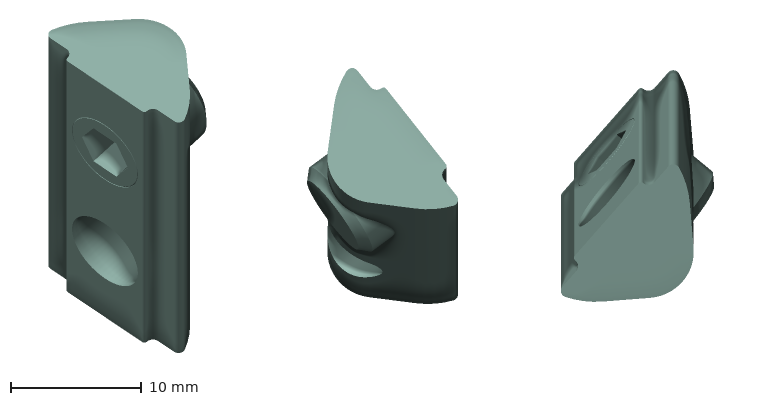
import cadquery as cq
import math

length = 28.0
half_width = 6.735
crest_height = 7.6
crest_radius = 3.65
flank_radius = 7.0
nose_radius = 0.5
wing_height = 0.87
foot_half_width = 4.0
foot_edge_radius = 0.25
foot_corner_radius = wing_height - foot_edge_radius

hole_diameter = 6.65
hole_end_distance = 8.0
open_hole_z = hole_end_distance
screw_z = length - hole_end_distance

screw_diameter = 8.0
screw_length = 8.0
screw_chamfer = 0.75
socket_across_flats = 4.0
socket_depth = 4.0
socket_tip_angle = 120.0

diagonal = math.sqrt(0.5)


def arc_middle(center, radius, start_angle, end_angle):
    """Point halfway along an arc, with the angles in radians."""
    angle = (start_angle + end_angle) / 2
    return arc_point(center, radius, angle)


def arc_point(center, radius, angle):
    return (center[0] + radius * math.cos(angle), center[1] + radius * math.sin(angle))


def make_profile():
    """Symmetric outline: foot, wings, rounded noses, 45-degree flanks and crest."""
    right = 0.0
    up = math.pi / 2
    flank_normal = math.pi / 4

    crest_center = (0, crest_height - crest_radius)
    crest_end = arc_point(crest_center, crest_radius, flank_normal)
    nose_center = (half_width - nose_radius, wing_height + nose_radius)

    nose_to_flank = (sum(crest_end) - sum(nose_center)) * diagonal
    along_flank = math.sqrt((flank_radius - nose_radius) ** 2 - (flank_radius - nose_to_flank) ** 2)
    inward = flank_radius - nose_to_flank
    flank_center = (
        nose_center[0] - (inward + along_flank) * diagonal,
        nose_center[1] - (inward - along_flank) * diagonal,
    )
    nose_angle = math.atan2(nose_center[1] - flank_center[1], nose_center[0] - flank_center[0])

    foot_edge_center = (foot_half_width - foot_edge_radius, foot_edge_radius)
    foot_corner_center = (foot_half_width + foot_corner_radius, foot_edge_radius)

    half = (
        cq.Workplane("XY")
        .moveTo(0, 0)
        .lineTo(foot_edge_center[0], 0)
        .threePointArc(
            arc_middle(foot_edge_center, foot_edge_radius, -up, right),
            (foot_half_width, foot_edge_radius),
        )
        .threePointArc(
            arc_middle(foot_corner_center, foot_corner_radius, up, math.pi),
            (foot_corner_center[0], wing_height),
        )
        .lineTo(nose_center[0], wing_height)
        .threePointArc(
            arc_middle(nose_center, nose_radius, -up, nose_angle),
            arc_point(nose_center, nose_radius, nose_angle),
        )
        .threePointArc(
            arc_middle(flank_center, flank_radius, nose_angle, flank_normal),
            arc_point(flank_center, flank_radius, flank_normal),
        )
        .lineTo(*crest_end)
        .threePointArc(
            arc_middle(crest_center, crest_radius, flank_normal, up),
            (0, crest_height),
        )
    )
    return half.mirrorY()


def cylinder_along_y(diameter, depth, z):
    """Cylinder starting at Y = 0 and running toward +Y."""
    return cq.Workplane("XZ", origin=(0, 0, z)).circle(diameter / 2).extrude(-depth)


def make_screw_blank():
    blank = cylinder_along_y(screw_diameter, screw_length, screw_z)
    return blank.faces("<Y or >Y").chamfer(screw_chamfer)


def make_socket():
    """Hexagonal recess whose bottom is a cone as wide as the hexagon's corners."""
    corner_radius = socket_across_flats / 2 / math.cos(math.pi / 6)
    cone_depth = corner_radius / math.tan(math.radians(socket_tip_angle / 2))
    hexagon = (
        cq.Workplane("XZ", origin=(0, 0, screw_z))
        .polygon(6, 2 * corner_radius)
        .extrude(-socket_depth - cone_depth)
    )
    envelope = (
        cq.Workplane("XY", origin=(0, 0, screw_z))
        .moveTo(0, 0)
        .lineTo(corner_radius, 0)
        .lineTo(corner_radius, socket_depth)
        .lineTo(0, socket_depth + cone_depth)
        .close()
        .revolve(360, (0, 0, 0), (0, 1, 0))
    )
    return hexagon.intersect(envelope)


def make_bar():
    bar = make_profile().extrude(length)
    for z in (open_hole_z, screw_z):
        bar = bar.cut(cylinder_along_y(hole_diameter, screw_length, z))
    return bar.cut(make_screw_blank())


def make_screw():
    return make_screw_blank().cut(make_socket())


bar = make_bar()
screw = make_screw()
result = cq.Compound.makeCompound([bar.solids().val(), screw.solids().val()])